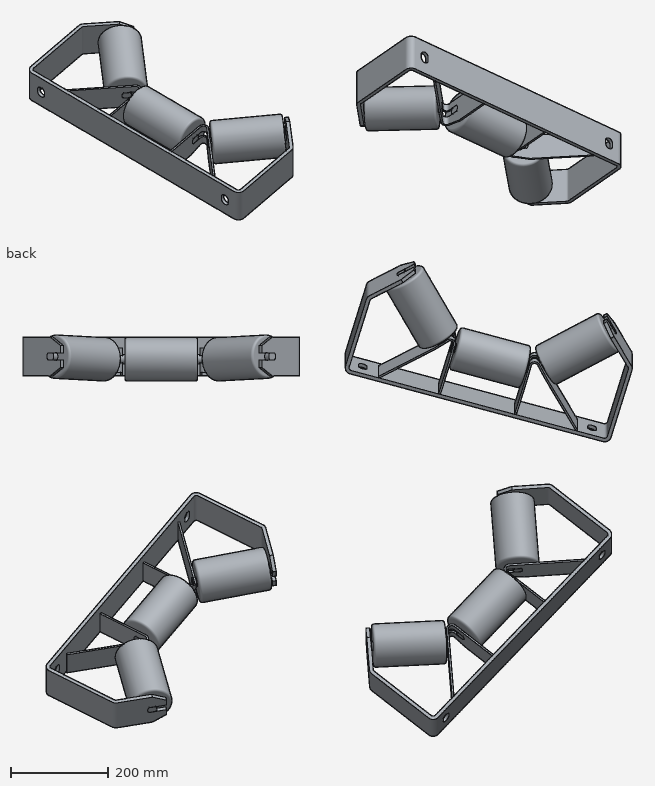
import cadquery as cq
import math

frame_length = 570.0
frame_height = 80.0
frame_thickness = 8.0
frame_bend_radius = 14.0
arm_corner_y = 174.6
arm_end_y = 252.33
arm_tip_height = 45.0
arm_taper_length = 30.0
mounting_slot_x = 246.0
mounting_slot_width = 18.0
mounting_slot_height = 26.0

bracket_face_x = 79.5
bracket_top_y = 129.4
bracket_thickness = 4.0
bracket_bend_radius = 11.0
bracket_low_z = 7.5
bracket_high_z = 58.0
bracket_taper_length = 32.0

roller_length = 150.0
roller_radius = 45.0
roller_edge_radius = 5.0
axle_radius = 10.0
axle_flat_height = 15.0
axle_flat_relief = 1.0
middle_roller_y = 101.5
middle_roller_z = 34.4
side_roller_z = 36.9
side_roller_arm_gap = 4.0
side_roller_along = 1.6
side_roller_tilt = math.radians(2.18)

root2 = math.sqrt(2)
end_x = frame_length / 2
bend_x = -bracket_face_x - bracket_bend_radius
bend_y = bracket_top_y - bracket_bend_radius

arm_outer_offset = (arm_corner_y + end_x) / root2
arm_inner_offset = arm_outer_offset - frame_thickness
arm_end_along = root2 * arm_end_y - arm_outer_offset
bend_along = (bend_x + bend_y) / root2
bend_offset = (bend_y - bend_x) / root2
leg_outer_offset = bend_offset + bracket_bend_radius
leg_inner_offset = leg_outer_offset - bracket_thickness
leg_foot_along = root2 * frame_thickness - leg_inner_offset
side_roller_offset = arm_inner_offset - side_roller_arm_gap - roller_length / 2


def slant_point(along, offset):
    """XY position of a point given along and square to the left-hand slope."""
    return ((along - offset) / root2, (along + offset) / root2)


def slant_plane(offset):
    """Upright plane on the slope: local x up the slope, local y along Z, facing back inward."""
    x, y = slant_point(0, offset)
    return cq.Plane(origin=(x, y, 0), xDir=(1, 1, 0), normal=(1, -1, 0))


def direction(start, end):
    """Unit vector from one XY point towards another."""
    length = math.dist(start, end)
    return ((end[0] - start[0]) / length, (end[1] - start[1]) / length)


def moved(point, heading, forward, left=0.0):
    """XY point shifted along a heading and to the left of it."""
    return (
        point[0] + heading[0] * forward - heading[1] * left,
        point[1] + heading[1] * forward + heading[0] * left,
    )


def bent_strip(corners, radius, thickness, height):
    """Upright strip whose outer face follows the corners, turning left; thickness lies to the left."""
    outer_arcs = []
    inner_arcs = []
    for before, corner, after in zip(corners, corners[1:], corners[2:]):
        entry = direction(before, corner)
        leave = direction(corner, after)
        turn = math.acos(entry[0] * leave[0] + entry[1] * leave[1])
        start = moved(corner, entry, -radius * math.tan(turn / 2))
        centre = moved(start, entry, 0, radius)
        outward = direction(centre, corner)
        finish = moved(corner, leave, radius * math.tan(turn / 2))
        inner_start = moved(start, entry, 0, thickness)
        inner_finish = moved(finish, leave, 0, thickness)
        outer_arcs.append((start, moved(centre, outward, radius), finish))
        inner_arcs.insert(0, (inner_finish, moved(centre, outward, radius - thickness), inner_start))

    first_heading = direction(corners[0], corners[1])
    last_heading = direction(corners[-2], corners[-1])
    outline = cq.Workplane("XY").moveTo(*corners[0])
    for start, middle, finish in outer_arcs:
        outline = outline.lineTo(*start).threePointArc(middle, finish)
    outline = outline.lineTo(*corners[-1]).lineTo(*moved(corners[-1], last_heading, 0, thickness))
    for start, middle, finish in inner_arcs:
        outline = outline.lineTo(*start).threePointArc(middle, finish)
    outline = outline.lineTo(*moved(corners[0], first_heading, 0, thickness))
    return outline.close().extrude(height)


def mirrored(body):
    """The same body on the other side of the middle plane."""
    return body.mirror("YZ")


def axle_rod(plane, start, end):
    """Round axle along the plane's X direction."""
    return (
        cq.Workplane(plane)
        .transformed(rotate=(0, 90, 0))
        .workplane(offset=start)
        .circle(axle_radius)
        .extrude(end - start)
    )


def axle_between_flats(plane, start, end):
    """Stretch of axle cut down to its two flats."""
    flats = cq.Workplane(plane).box(2 * max(-start, end), 2 * axle_radius, axle_flat_height)
    return axle_rod(plane, start, end).intersect(flats)


def make_roller(plane, back_plate, front_plate):
    """Roller along the plane's X; each plate behind or ahead is given by its near and far distances."""
    shell = (
        cq.Workplane(plane)
        .transformed(rotate=(0, 90, 0))
        .workplane(offset=-roller_length / 2)
        .circle(roller_radius)
        .extrude(roller_length)
        .edges()
        .fillet(roller_edge_radius)
    )
    rod = axle_rod(plane, axle_flat_relief - back_plate[0], front_plate[0] - axle_flat_relief)
    ends = axle_between_flats(plane, -back_plate[1], front_plate[1])
    return shell.union(rod).union(ends)


def axle_notch(plane, start, end, length):
    """Cutter for a notch that takes an axle end and is open towards the plane's Y direction."""
    mouth = (
        cq.Workplane(plane)
        .center((start + end) / 2, length / 2)
        .box(end - start, length, axle_flat_height)
    )
    return mouth.union(axle_between_flats(plane, start, end))


middle_plane = cq.Plane(origin=(0, middle_roller_y, middle_roller_z), xDir=(1, 0, 0), normal=(0, 0, 1))
middle_plate = (bracket_face_x, bracket_face_x + bracket_thickness)

run = math.cos(side_roller_tilt)
rise = math.sin(side_roller_tilt)
side_plane = cq.Plane(
    origin=(*slant_point(side_roller_along, side_roller_offset), side_roller_z),
    xDir=(run / root2, -run / root2, -rise),
    normal=(rise / root2, -rise / root2, run),
)
leg_plate = ((side_roller_offset - leg_outer_offset) / run, (side_roller_offset - leg_inner_offset) / run)
arm_plate = ((arm_inner_offset - side_roller_offset) / run, (arm_outer_offset - side_roller_offset) / run)

middle_roller = make_roller(middle_plane, middle_plate, middle_plate)
left_roller = make_roller(side_plane, arm_plate, leg_plate)


def make_frame():
    arm_tip = slant_point(arm_end_along, arm_outer_offset)
    frame = bent_strip(
        [
            arm_tip,
            (-end_x, arm_corner_y),
            (-end_x, 0),
            (end_x, 0),
            (end_x, arm_corner_y),
            (-arm_tip[0], arm_tip[1]),
        ],
        frame_bend_radius,
        frame_thickness,
        frame_height,
    )

    taper_drop = (frame_height - arm_tip_height) / 2
    taper_start = arm_end_along - arm_taper_length
    notch = axle_notch(
        side_plane,
        -arm_plate[1] - axle_flat_relief,
        -arm_plate[0] + axle_flat_relief,
        2 * arm_taper_length,
    )
    cutters = [notch]
    for edge, inner in ((0, taper_drop), (frame_height, frame_height - taper_drop)):
        cutters.append(
            cq.Workplane(slant_plane(arm_outer_offset))
            .polyline([(taper_start, edge), (arm_end_along, inner), (arm_end_along, edge)])
            .close()
            .extrude(frame_thickness)
        )
    for cutter in cutters:
        frame = frame.cut(cutter).cut(mirrored(cutter))

    mounting_slots = (
        cq.Workplane("XZ")
        .pushPoints([(-mounting_slot_x, frame_height / 2), (mounting_slot_x, frame_height / 2)])
        .slot2D(mounting_slot_height, mounting_slot_width, 90)
        .extrude(-frame_thickness)
    )
    return frame.cut(mounting_slots)


def below_lower_edge(plane, bend_position):
    """Material missing under one bracket leg and its half of the bend; local x runs up the leg."""
    past_bend = bend_position + bracket_bend_radius
    return (
        cq.Workplane(plane)
        .polyline(
            [
                (bend_position - bracket_taper_length, 0),
                (bend_position, bracket_low_z),
                (past_bend, bracket_low_z),
                (past_bend, 0),
            ]
        )
        .close()
        .extrude(bracket_bend_radius)
    )


def make_left_bracket():
    bracket = bent_strip(
        [
            (-bracket_face_x, frame_thickness),
            (-bracket_face_x, root2 * leg_outer_offset - bracket_face_x),
            slant_point(leg_foot_along, leg_outer_offset),
        ],
        bracket_bend_radius,
        bracket_thickness,
        bracket_high_z,
    )
    bracket = bracket.cut(below_lower_edge(slant_plane(leg_outer_offset), bend_along))
    bracket = bracket.cut(below_lower_edge(cq.Workplane("YZ", origin=(bend_x, 0, 0)).plane, bend_y))

    middle_notch = axle_notch(
        middle_plane,
        -middle_plate[1] - axle_flat_relief,
        -middle_plate[0] + axle_flat_relief,
        bracket_top_y - middle_roller_y,
    )
    leg_notch = axle_notch(
        side_plane,
        leg_plate[0] - axle_flat_relief,
        leg_plate[1] + axle_flat_relief,
        2 * bracket_bend_radius,
    )
    bend_notch = (
        cq.Workplane("XY", origin=(bend_x, bend_y + bracket_bend_radius / 2, middle_roller_z))
        .box(4 * bracket_bend_radius, bracket_bend_radius, axle_flat_height)
    )
    return bracket.cut(middle_notch).cut(leg_notch).cut(bend_notch)


frame = make_frame()
left_bracket = make_left_bracket()

result = cq.Compound.makeCompound(
    [
        frame.val(),
        left_bracket.val(),
        mirrored(left_bracket).val(),
        middle_roller.val(),
        left_roller.val(),
        mirrored(left_roller).val(),
    ]
)